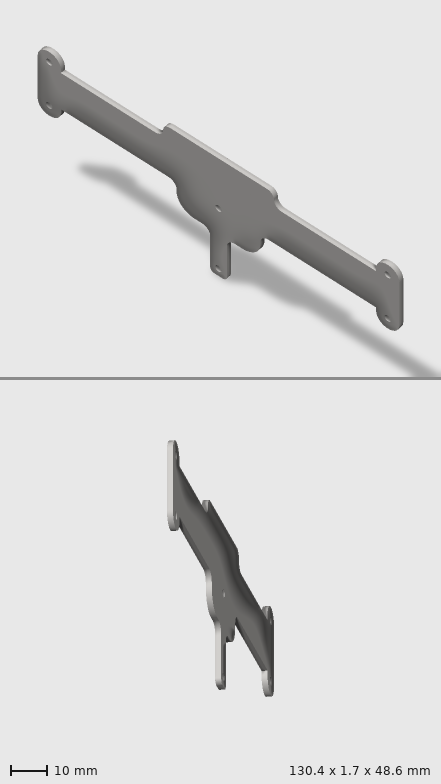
import cadquery as cq

length = 130.4
height = 48.6
thickness = 1.7

ear_radius = 4.2
ear_hole_spacing = 18.0
ear_x = length / 2 - ear_radius
ear_hole_levels = (-ear_radius, -ear_radius - ear_hole_spacing)

arm_width = 15.0
arm_center_z = -ear_radius - ear_hole_spacing / 2
arm_top = arm_center_z + arm_width / 2
arm_bottom = arm_center_z - arm_width / 2

block_half_width = 20.0
bowl_half_width = 15.1
bowl_bottom = -31.2
bowl_radius = 6.5
tail_half_width = 3.0
tail_corner_radius = 1.5
inner_radius = 3.0
block_corner_radius = 2.5

hole_diameter = 2.3
tail_hole_inset = 3.0
center_hole_z = arm_bottom
tail_hole_z = -height + tail_hole_inset


def box(half_width, top, bottom):
    """Plate centred on X = 0 between two heights."""
    return cq.Workplane("XY").box(2 * half_width, thickness, top - bottom).translate(
        (0, 0, (top + bottom) / 2)
    )


def round_corners(body, half_width, z, radius):
    """Round the mirrored pair of through-thickness edges at +/- half_width and height z."""
    for x in (-half_width, half_width):
        corner = cq.selectors.NearestToPointSelector((x, 0, z))
        body = body.edges("|Y").edges(corner).fillet(radius)
    return body


def cylinder(x, z, radius):
    """Disc through the plate thickness, with its axis along Y."""
    return cq.Workplane("XZ", origin=(x, thickness / 2, z)).circle(radius).extrude(thickness)


def ear(x):
    """Vertical strip with full-round ends."""
    strip = box(ear_radius, ear_hole_levels[0], ear_hole_levels[1]).translate((x, 0, 0))
    for z in ear_hole_levels:
        strip = strip.union(cylinder(x, z, ear_radius))
    return strip


result = box(ear_x, arm_top, arm_bottom)
result = result.union(box(block_half_width, 0, arm_bottom))
result = result.union(box(bowl_half_width, arm_top, bowl_bottom))
result = result.union(box(tail_half_width, arm_top, -height)).clean()

result = round_corners(result, block_half_width, 0, block_corner_radius)
result = round_corners(result, bowl_half_width, bowl_bottom, bowl_radius)
result = round_corners(result, tail_half_width, -height, tail_corner_radius)
result = round_corners(result, block_half_width, arm_top, inner_radius)
result = round_corners(result, bowl_half_width, arm_bottom, inner_radius)
result = round_corners(result, tail_half_width, bowl_bottom, inner_radius)

for ear_center in (-ear_x, ear_x):
    result = result.union(ear(ear_center))

hole_positions = [(x, z) for x in (-ear_x, ear_x) for z in ear_hole_levels]
hole_positions += [(0, center_hole_z), (0, tail_hole_z)]
for x, z in hole_positions:
    result = result.cut(cylinder(x, z, hole_diameter / 2))